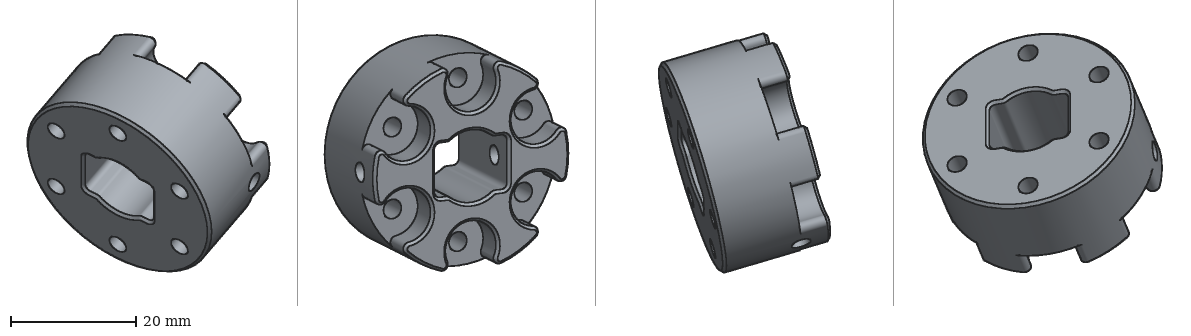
import cadquery as cq
import math

outer_radius = 17.5
length = 18.0
edge_chamfer = 0.5

pocket_count = 6
pocket_depth = 5.0
pocket_radius = 4.5
pocket_circle_radius = 13.5
jaw_tip_fillet = 1.0

bolt_hole_diameter = 3.2

bore_width = 13.0
bore_height = 9.0
bore_relief_radius = 6.0
bore_fillet = 1.0

cross_hole_diameter = 3.2

pocket_floor = length - pocket_depth
pocket_angles = [90 + 360 / pocket_count * i for i in range(pocket_count)]


def plane_at(y):
    """Sketch plane at height y whose local axes are X and Z; material is extruded towards -Y."""
    return cq.Workplane("XZ", origin=(0, y, 0))


def pocket_centre(angle):
    """Point (X, Z) of the pocket axis at the given angle in degrees from +X."""
    turn = math.radians(angle)
    return (pocket_circle_radius * math.cos(turn), pocket_circle_radius * math.sin(turn))


def make_disc():
    return plane_at(length).circle(outer_radius).extrude(length)


def make_pockets():
    centres = [pocket_centre(angle) for angle in pocket_angles]
    return plane_at(length).pushPoints(centres).circle(pocket_radius).extrude(pocket_depth)


def round_jaw_tips(body):
    """Round the upright edges where the pockets break through the outer surface."""
    mouth_cosine = (outer_radius**2 + pocket_circle_radius**2 - pocket_radius**2) / (
        2 * outer_radius * pocket_circle_radius
    )
    mouth_angle = math.degrees(math.acos(mouth_cosine))
    middle_y = length - pocket_depth / 2
    for angle in pocket_angles:
        for side in (-mouth_angle, mouth_angle):
            turn = math.radians(angle + side)
            point = (outer_radius * math.cos(turn), middle_y, outer_radius * math.sin(turn))
            body = body.edges(cq.selectors.NearestToPointSelector(point)).fillet(jaw_tip_fillet)
    return body


def make_bore():
    block = plane_at(length).rect(bore_width, bore_height).extrude(length)
    block = block.edges("|Y").fillet(bore_fillet)
    relief = plane_at(length).circle(bore_relief_radius).extrude(length)
    bore = block.union(relief)
    corner_x = math.sqrt(bore_relief_radius**2 - (bore_height / 2) ** 2)
    for x in (-corner_x, corner_x):
        for z in (-bore_height / 2, bore_height / 2):
            corner = cq.selectors.NearestToPointSelector((x, length / 2, z))
            bore = bore.edges(corner).fillet(bore_fillet)
    return bore


def make_bolt_holes():
    centres = [pocket_centre(angle) for angle in pocket_angles]
    return plane_at(length).pushPoints(centres).circle(bolt_hole_diameter / 2).extrude(length)


def make_cross_hole():
    cross_plane = cq.Workplane("YZ", origin=(0, pocket_floor, 0))
    return cross_plane.circle(cross_hole_diameter / 2).extrude(outer_radius, both=True)


result = round_jaw_tips(make_disc().cut(make_pockets()))
result = result.cut(make_bore())
result = result.faces("<Y or >Y").chamfer(edge_chamfer)
result = result.cut(make_bolt_holes()).cut(make_cross_hole())